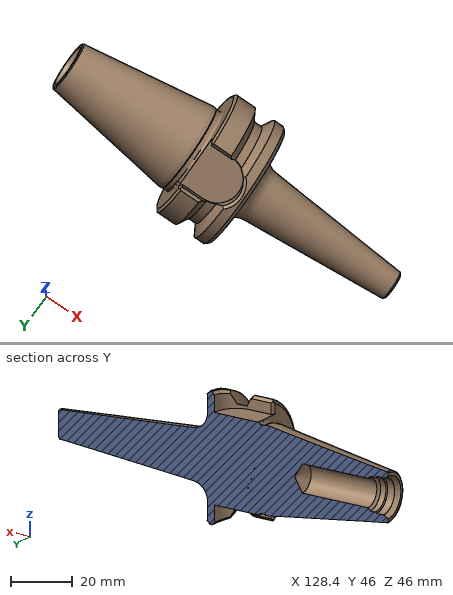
import cadquery as cq
import math

total_length = 128.4
taper_end = 46.5
flange_start = 50.3
flange_end = 70.5

taper_small_radius = 8.9
neck_radius = 15.7
relief_start = 47.8
relief_depth = 0.3
neck_fillet = 0.8
shank_chamfer = 0.4

flange_radius = 23.0
flange_chamfer_axial = 0.8
flange_chamfer_radial = 1.2
rear_chamfer_axial = 1.2
rear_chamfer_radial = 1.0
groove_radius = 19.0
groove_floor_start = 60.5
groove_floor_end = 63.5
groove_half_angle = math.radians(30)
groove_side_run = (flange_radius - groove_radius) * math.tan(groove_half_angle)

nose_fillet = 5.8
nose_tip_radius = 5.1
nose_half_angle = math.radians(4.5)
nose_chamfer = 0.6

slot_half_width = 8.3
slot_floor = 16.0
slot_round_center = 59.2
slot_chamfer = 1.0

mouth_radius = 7.3
counterbore_radius = 6.3
counterbore_depth = 4.5
mouth_half_angle = math.radians(30)
thread_relief_radius = 5.9
thread_relief_depth = 6.9
bore_radius = 5.0
bore_depth = 33.4
bore_tip_half_angle = math.radians(59)


def make_body():
    """Revolve the taper, flange and nose about X."""
    fillet_x = flange_end + nose_fillet
    tangent_x = fillet_x - nose_fillet * math.sin(nose_half_angle)
    tangent_r = nose_tip_radius + (total_length - tangent_x) * math.tan(nose_half_angle)
    fillet_r = tangent_r + nose_fillet * math.cos(nose_half_angle)
    middle_angle = (math.pi / 2 - nose_half_angle) / 2
    fillet_middle = (
        fillet_x - nose_fillet * math.cos(middle_angle),
        fillet_r - nose_fillet * math.sin(middle_angle),
    )
    relief_radius = neck_radius - relief_depth
    neck_fillet_middle = (
        flange_start - neck_fillet * (1 - math.sin(math.pi / 4)),
        relief_radius + neck_fillet * (1 - math.cos(math.pi / 4)),
    )
    chamfer_r = nose_tip_radius + nose_chamfer * math.tan(nose_half_angle)
    return (
        cq.Workplane("XY")
        .moveTo(0, 0)
        .lineTo(0, taper_small_radius - shank_chamfer)
        .lineTo(shank_chamfer, taper_small_radius)
        .lineTo(taper_end, neck_radius)
        .lineTo(relief_start, neck_radius)
        .lineTo(relief_start + relief_depth, relief_radius)
        .lineTo(flange_start - neck_fillet, relief_radius)
        .threePointArc(neck_fillet_middle, (flange_start, relief_radius + neck_fillet))
        .lineTo(flange_start, flange_radius - flange_chamfer_radial)
        .lineTo(flange_start + flange_chamfer_axial, flange_radius)
        .lineTo(groove_floor_start - groove_side_run, flange_radius)
        .lineTo(groove_floor_start, groove_radius)
        .lineTo(groove_floor_end, groove_radius)
        .lineTo(groove_floor_end + groove_side_run, flange_radius)
        .lineTo(flange_end - rear_chamfer_axial, flange_radius)
        .lineTo(flange_end, flange_radius - rear_chamfer_radial)
        .lineTo(flange_end, fillet_r)
        .threePointArc(fillet_middle, (tangent_x, tangent_r))
        .lineTo(total_length - nose_chamfer, chamfer_r)
        .lineTo(total_length, nose_tip_radius - nose_chamfer)
        .lineTo(total_length, 0)
        .close()
        .revolve(360, (0, 0, 0), (1, 0, 0))
    )


def make_bore():
    """Revolve the countersunk, stepped blind bore with its drill point."""
    mouth_length = (mouth_radius - counterbore_radius) / math.tan(mouth_half_angle)
    relief_step = counterbore_radius - thread_relief_radius
    bore_step = thread_relief_radius - bore_radius
    tip_length = bore_radius / math.tan(bore_tip_half_angle)
    return (
        cq.Workplane("XY")
        .polyline([
            (0, 0),
            (0, mouth_radius),
            (mouth_length, counterbore_radius),
            (counterbore_depth, counterbore_radius),
            (counterbore_depth + relief_step, thread_relief_radius),
            (thread_relief_depth, thread_relief_radius),
            (thread_relief_depth + bore_step, bore_radius),
            (bore_depth, bore_radius),
            (bore_depth + tip_length, 0),
        ])
        .close()
        .revolve(360, (0, 0, 0), (1, 0, 0))
    )


def make_slot():
    """Round-ended drive slot on +Z, flared where it enters the flange face."""
    entry_half_width = slot_half_width + flange_chamfer_radial
    return (
        cq.Workplane("XY", origin=(0, 0, slot_floor))
        .moveTo(flange_start, -entry_half_width)
        .lineTo(flange_start + flange_chamfer_axial, -slot_half_width)
        .lineTo(slot_round_center, -slot_half_width)
        .threePointArc(
            (slot_round_center + slot_half_width, 0),
            (slot_round_center, slot_half_width),
        )
        .lineTo(flange_start + flange_chamfer_axial, slot_half_width)
        .lineTo(flange_start, entry_half_width)
        .close()
        .extrude(flange_radius)
    )


def make_side_bevel(side):
    """Prism that bevels the outer edge of one straight slot wall on +Z."""
    outer_y = slot_half_width + slot_chamfer
    outer_z = math.sqrt(flange_radius**2 - outer_y**2)
    length = groove_floor_start - flange_start
    return (
        cq.Workplane("YZ", origin=(flange_start, 0, 0))
        .polyline([
            (side * slot_half_width, outer_z - slot_chamfer),
            (side * outer_y, outer_z),
            (side * outer_y, flange_radius),
            (side * slot_half_width, flange_radius),
        ])
        .close()
        .extrude(length)
    )


def bevel_round_ends(body):
    """Bevel the outer edge of the round end of both slots."""
    near_rim = groove_floor_end + groove_side_run - slot_chamfer
    rim_height = flange_radius - slot_chamfer
    margin = 1.3
    for side in (1, -1):
        rim_box = cq.selectors.BoxSelector(
            (near_rim, -margin, side * rim_height),
            (flange_end - rear_chamfer_axial, margin, side * (flange_radius + margin)),
        )
        body = body.edges(rim_box).chamfer(slot_chamfer)
    return body


slot = make_slot()
body = make_body().cut(slot).cut(slot.mirror("XY"))
body = bevel_round_ends(body)
for side in (1, -1):
    bevel = make_side_bevel(side)
    body = body.cut(bevel).cut(bevel.mirror("XY"))
result = body.cut(make_bore())